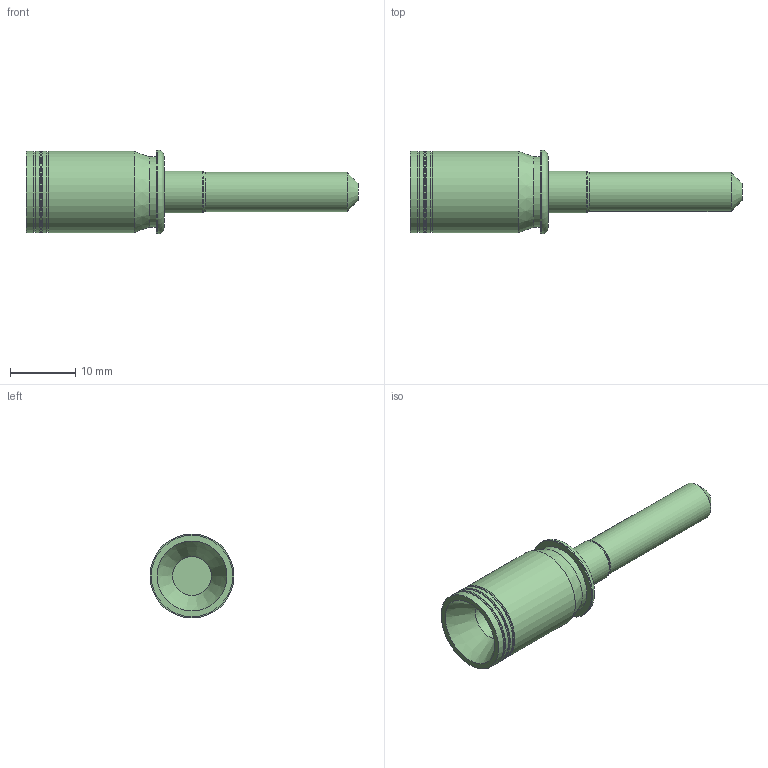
import cadquery as cq
import math

body_end = 16.65
neck_start = 19.0
flange_start = 20.0
flange_end = 21.2
collar_end = 27.2
pin_start = 27.55
overall_length = 51.0

body_diameter = 12.5
groove_diameter = 12.3
neck_diameter = 10.8
flange_diameter = 12.9
collar_diameter = 6.4
pin_diameter = 6.0

flange_round_radius = 1.0
tip_chamfer = 1.67
collar_round_length = 0.1

groove_count = 3
first_groove_start = 1.1
groove_width = 0.4
groove_pitch = 1.0

mouth_diameter = 10.75
mouth_depth = 4.15
bore_diameter = 6.0
bore_depth = body_end


def revolve_about_x(profile):
    """Turn a closed half profile in the XY plane into a solid around the X axis."""
    return profile.close().revolve(360, (0, 0, 0), (1, 0, 0))


def make_body():
    """Body, tapered neck, rounded flange, collar and chamfered pin as one turned solid."""
    taper_angle = math.atan2((collar_diameter - pin_diameter) / 2, pin_start - collar_end)
    round_end_x = collar_end + collar_round_length * math.cos(taper_angle)
    round_end_radius = collar_diameter / 2 - collar_round_length * math.sin(taper_angle)
    profile = (
        cq.Workplane("XY")
        .moveTo(0, 0)
        .lineTo(0, body_diameter / 2)
        .lineTo(body_end, body_diameter / 2)
        .lineTo(neck_start, neck_diameter / 2)
        .lineTo(flange_start, neck_diameter / 2)
        .lineTo(flange_start, flange_diameter / 2)
        .lineTo(flange_end - flange_round_radius, flange_diameter / 2)
        .radiusArc((flange_end, flange_diameter / 2 - flange_round_radius), flange_round_radius)
        .lineTo(flange_end, collar_diameter / 2)
        .lineTo(collar_end - collar_round_length, collar_diameter / 2)
        .tangentArcPoint((round_end_x, round_end_radius), relative=False)
        .lineTo(pin_start, pin_diameter / 2)
        .lineTo(overall_length - tip_chamfer, pin_diameter / 2)
        .lineTo(overall_length, pin_diameter / 2 - tip_chamfer)
        .lineTo(overall_length, 0)
    )
    return revolve_about_x(profile)


def make_socket():
    """Cone that narrows into a straight bore with a flat floor."""
    profile = (
        cq.Workplane("XY")
        .moveTo(0, 0)
        .lineTo(0, mouth_diameter / 2)
        .lineTo(mouth_depth, bore_diameter / 2)
        .lineTo(bore_depth, bore_diameter / 2)
        .lineTo(bore_depth, 0)
    )
    return revolve_about_x(profile)


def make_groove(groove_start):
    """Ring with sloping walls that cuts one groove into the body."""
    groove_depth = (body_diameter - groove_diameter) / 2
    profile = (
        cq.Workplane("XY")
        .moveTo(groove_start, body_diameter / 2)
        .lineTo(groove_start + groove_depth, groove_diameter / 2)
        .lineTo(groove_start + groove_width - groove_depth, groove_diameter / 2)
        .lineTo(groove_start + groove_width, body_diameter / 2)
    )
    return revolve_about_x(profile)


result = make_body().cut(make_socket())
for index in range(groove_count):
    result = result.cut(make_groove(first_groove_start + index * groove_pitch))